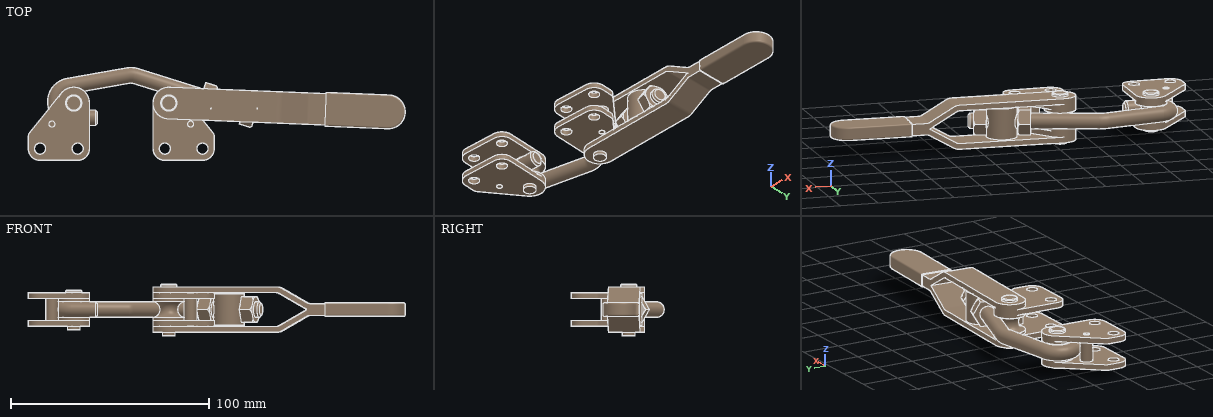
import cadquery as cq
import math


SHEET = 3.0
BRACKET_INNER_Z = 5.5
BRACKET_OUTER_Z = BRACKET_INNER_Z + SHEET
ARM_OUTER_Z = BRACKET_OUTER_Z + SHEET

PIVOT_SPACING = 48.0
PIVOT_RADIUS = 8.0
SPOOL_WAIST = 4.5
PIN_RADIUS = 3.25
PIN_TAIL = 1.8
PIN_HEAD_RADIUS = 4.1
PIN_HEAD_HEIGHT = 1.4
PIN_HEAD_CHAMFER = 0.5

FOOT_REACH = 23.0
FOOT_DEPTH = 29.0
FOOT_CORNER = 6.0
SHOULDER_DEPTH = 15.8
SHOULDER_ROUND = 3.0
MOUNT_HOLE = 5.5
SPACER_X = -11.0
SPACER_Y = -10.6
SPACER_RADIUS = 3.25
SPACER_DIMPLE = 3.0
SPACER_DIMPLE_DEPTH = 0.2

ROD_RADIUS = 4.0
ROD_BEND = 8.0
ROD_CHAMFER = 1.0
HOOK_TIP_X = 11.9
HOOK_LOW_Y = -7.45
HOOK_LEFT_X = -9.25
RISE_ANGLE = math.radians(10.0)
FALL_ANGLE = math.radians(17.4)
APEX_X = 29.4
APEX_Y = 14.22
ROD_OVERHANG = 17.0

TRUNNION_X = 78.4
TRUNNION_RADIUS = 7.8
TRUNNION_HALF_HEIGHT = 8.0
NUT_FLATS = 13.0
NUT_THICKNESS = 6.5
OUTER_NUT_GAP = 7.7
INNER_NUT_GAP = 8.2
NUT_CHAMFER = 0.8

HANDLE_TILT = -2.3
ARM_LENGTH = 56.0
ARM_SLOPE = math.radians(30.0)
BEND_OUTER = 6.0
BEND_INNER = BEND_OUTER - SHEET
GRIP_START = 79.2
GRIP_END = 119.5
GRIP_WIDTH = 17.2
GRIP_HALF_THICKNESS = 3.5
GRIP_ROUND = 1.0


def cylinder(x, y, radius, bottom, top):
    """Upright cylinder between two heights."""
    return cq.Workplane("XY", origin=(x, y, bottom)).circle(radius).extrude(top - bottom)


def rounded_path(nodes, radius):
    """Open path through the nodes, with every inner corner rounded."""
    path = cq.Workplane("XY").moveTo(*nodes[0])
    for before, corner, after in zip(nodes, nodes[1:], nodes[2:]):
        corner = cq.Vector(*corner)
        back = (cq.Vector(*before) - corner).normalized()
        ahead = (cq.Vector(*after) - corner).normalized()
        half_angle = back.getAngle(ahead) / 2
        tangent_length = radius / math.tan(half_angle)
        arc_gap = radius / math.sin(half_angle) - radius
        middle = corner + (back + ahead).normalized() * arc_gap
        start = corner + back * tangent_length
        end = corner + ahead * tangent_length
        path = path.lineTo(start.x, start.y)
        path = path.threePointArc((middle.x, middle.y), (end.x, end.y))
    return path.lineTo(*nodes[-1])


def bracket_plate(bottom):
    """One foot plate, its slope tangent to the round end at the pivot."""
    distance = math.hypot(FOOT_REACH, SHOULDER_DEPTH)
    slope = math.atan2(SHOULDER_DEPTH, FOOT_REACH) + math.asin(PIVOT_RADIUS / distance)
    tangent = (-PIVOT_RADIUS * math.sin(slope), PIVOT_RADIUS * math.cos(slope))
    arc_middle_angle = (slope + math.pi / 2) / 2
    arc_middle = (PIVOT_RADIUS * math.cos(arc_middle_angle), PIVOT_RADIUS * math.sin(arc_middle_angle))
    plate = (
        cq.Workplane("XY", origin=(0, 0, bottom))
        .moveTo(-FOOT_REACH, -FOOT_DEPTH)
        .lineTo(PIVOT_RADIUS, -FOOT_DEPTH)
        .lineTo(PIVOT_RADIUS, 0)
        .threePointArc(arc_middle, tangent)
        .lineTo(-FOOT_REACH, -SHOULDER_DEPTH)
        .close()
        .extrude(SHEET)
    )
    plate = plate.edges("|Z and <Y").fillet(FOOT_CORNER)
    shoulder = cq.selectors.NearestToPointSelector((-FOOT_REACH, -SHOULDER_DEPTH, bottom + SHEET / 2))
    plate = plate.edges("|Z").edges(shoulder).fillet(SHOULDER_ROUND)
    hole_y = -FOOT_DEPTH + FOOT_CORNER
    for hole_x in (-FOOT_REACH + FOOT_CORNER, PIVOT_RADIUS - FOOT_CORNER):
        plate = plate.cut(cylinder(hole_x, hole_y, MOUNT_HOLE / 2, bottom, bottom + SHEET))
    return plate


def bracket():
    """Pair of foot plates joined by a spacer post."""
    body = bracket_plate(BRACKET_INNER_Z).union(bracket_plate(-BRACKET_OUTER_Z))
    body = body.union(cylinder(SPACER_X, SPACER_Y, SPACER_RADIUS, -BRACKET_INNER_Z, BRACKET_INNER_Z))
    dimple_floor = BRACKET_OUTER_Z - SPACER_DIMPLE_DEPTH
    for low, high in ((dimple_floor, BRACKET_OUTER_Z), (-BRACKET_OUTER_Z, -dimple_floor)):
        body = body.cut(cylinder(SPACER_X, SPACER_Y, SPACER_DIMPLE / 2, low, high))
    return body


def pivot(seat_z):
    """Headed pin through the sheets, with a grooved spool between the brackets."""
    head_top = seat_z + PIN_HEAD_HEIGHT
    pin = cylinder(0, 0, PIN_RADIUS, -seat_z - PIN_TAIL, seat_z)
    head = cylinder(0, 0, PIN_HEAD_RADIUS, seat_z, head_top).faces(">Z").chamfer(PIN_HEAD_CHAMFER)
    spool = (
        cq.Workplane("XZ")
        .moveTo(0, -BRACKET_INNER_Z)
        .lineTo(PIVOT_RADIUS, -BRACKET_INNER_Z)
        .lineTo(PIVOT_RADIUS, -ROD_RADIUS)
        .threePointArc((SPOOL_WAIST, 0), (PIVOT_RADIUS, ROD_RADIUS))
        .lineTo(PIVOT_RADIUS, BRACKET_INNER_Z)
        .lineTo(0, BRACKET_INNER_Z)
        .close()
        .revolve(360, (0, 0, 0), (0, 1, 0))
    )
    return pin.union(head).union(spool)


def fall_point(x):
    """Point on the falling leg of the rod axis at a given x."""
    return (x, APEX_Y - (x - APEX_X) * math.tan(FALL_ANGLE))


def rod():
    """Hook, rising leg and falling threaded leg as one bent round bar."""
    tip = fall_point(TRUNNION_X + ROD_OVERHANG * math.cos(FALL_ANGLE))
    hook_top = APEX_Y - (APEX_X - HOOK_LEFT_X) * math.tan(RISE_ANGLE)
    nodes = [
        (HOOK_TIP_X, HOOK_LOW_Y),
        (HOOK_LEFT_X, HOOK_LOW_Y),
        (HOOK_LEFT_X, hook_top),
        (APEX_X, APEX_Y),
        tip,
    ]
    path = rounded_path(nodes, ROD_BEND)
    bar = cq.Workplane("YZ", origin=(HOOK_TIP_X, HOOK_LOW_Y, 0)).circle(ROD_RADIUS).sweep(path)
    for end in (nodes[0], tip):
        end_face = cq.selectors.NearestToPointSelector((end[0], end[1], 0))
        bar = bar.faces(end_face).chamfer(ROD_CHAMFER)
    return bar


def nut(left_face):
    """Hex nut on the X axis with the corners of its +X face chamfered."""
    corner_radius = NUT_FLATS / math.sqrt(3)
    plane = cq.Workplane("YZ", origin=(left_face, 0, 0))
    hexagon = plane.polygon(6, 2 * corner_radius).extrude(NUT_THICKNESS)
    blank = plane.circle(corner_radius).extrude(NUT_THICKNESS).faces(">X").chamfer(NUT_CHAMFER)
    return hexagon.intersect(blank)


def trunnion():
    """Upright barrel on the falling leg, clamped between two nuts."""
    x, y = fall_point(TRUNNION_X)
    nuts = nut(OUTER_NUT_GAP).union(nut(-INNER_NUT_GAP - NUT_THICKNESS))
    nuts = nuts.rotate((0, 0, 0), (0, 0, 1), -math.degrees(FALL_ANGLE)).translate((x, y, 0))
    return nuts.union(cylinder(x, y, TRUNNION_RADIUS, -TRUNNION_HALF_HEIGHT, TRUNNION_HALF_HEIGHT))


def upper_arm():
    """Upper half of the fork: flat arm, sloped neck and half of the grip bar."""
    neck_run = BRACKET_OUTER_Z / math.tan(ARM_SLOPE)
    inner_bend = ARM_LENGTH - SHEET * math.tan(ARM_SLOPE / 2)
    neck_end = ARM_LENGTH + neck_run
    bar_end = GRIP_END - GRIP_WIDTH / 2
    profile = [
        (-PIVOT_RADIUS, ARM_OUTER_Z),
        (ARM_LENGTH, ARM_OUTER_Z),
        (neck_end, SHEET),
        (bar_end, SHEET),
        (bar_end, 0),
        (inner_bend + neck_run, 0),
        (inner_bend, BRACKET_OUTER_Z),
        (-PIVOT_RADIUS, BRACKET_OUTER_Z),
    ]
    arm = cq.Workplane("XZ").polyline(profile).close().extrude(PIVOT_RADIUS, both=True)
    bends = (
        (ARM_LENGTH, ARM_OUTER_Z, BEND_OUTER),
        (inner_bend, BRACKET_OUTER_Z, BEND_INNER),
        (neck_end, SHEET, BEND_INNER),
    )
    for bend_x, bend_z, radius in bends:
        bend = cq.selectors.NearestToPointSelector((bend_x, 0, bend_z))
        arm = arm.edges("|Y").edges(bend).fillet(radius)
    outline = (
        cq.Workplane("XY")
        .moveTo(0, PIVOT_RADIUS)
        .threePointArc((-PIVOT_RADIUS, 0), (0, -PIVOT_RADIUS))
        .lineTo(bar_end, -PIVOT_RADIUS)
        .lineTo(bar_end, PIVOT_RADIUS)
        .close()
        .extrude(ARM_OUTER_Z)
    )
    return arm.intersect(outline)


def grip():
    """Padded sleeve with a round end and softened long edges."""
    length = GRIP_END - GRIP_START
    half_width = GRIP_WIDTH / 2
    return (
        cq.Workplane("XY", origin=(GRIP_START, 0, -GRIP_HALF_THICKNESS))
        .moveTo(0, -half_width)
        .lineTo(length - half_width, -half_width)
        .threePointArc((length, 0), (length - half_width, half_width))
        .lineTo(0, half_width)
        .close()
        .extrude(2 * GRIP_HALF_THICKNESS)
        .edges("(>Z or <Z) and (not <X)")
        .fillet(GRIP_ROUND)
    )


def handle():
    """Forked lever tilted about the handle pivot."""
    arm = upper_arm()
    fork = arm.union(arm.mirror("XY")).union(grip())
    return fork.rotate((0, 0, 0), (0, 0, 1), HANDLE_TILT)


handle_side = bracket().mirror("YZ").union(handle()).union(pivot(ARM_OUTER_Z))
hook_side = bracket().union(pivot(BRACKET_OUTER_Z))

result = (
    hook_side
    .union(handle_side.translate((PIVOT_SPACING, 0, 0)))
    .union(rod())
    .union(trunnion())
)